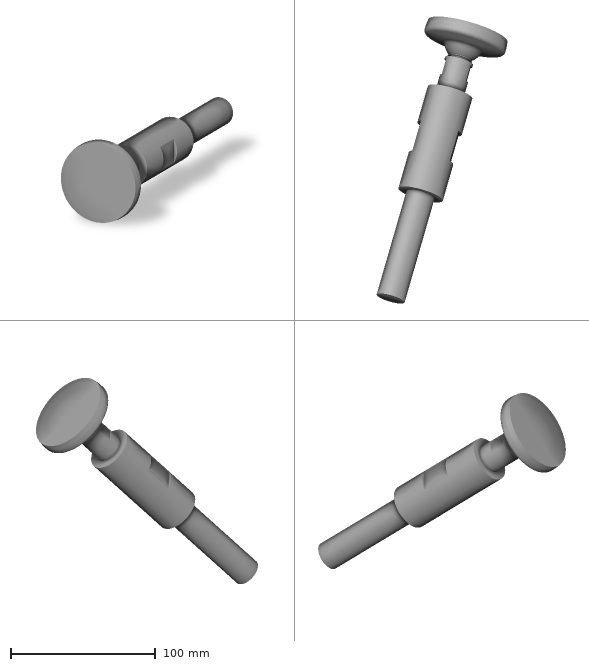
import cadquery as cq
import math


foot_diameter = 58.0
foot_base_diameter = 57.0
rim_taper_height = 4.1
rim_top_height = 9.3
rim_fillet = 2.4
dome_radius = 14.0
dome_center_height = 8.3
dome_top_height = 19.7
dome_base_height = 12.2
dome_base_fillet = 1.5
lip_diameter = 17.5
foot_height = 20.5

stud_diameter = 20.0
stud_end_height = 197.0
neck_diameter = 14.0
neck_length = 1.8
shoulder_height = foot_height + neck_length
stud_flat_width = 17.3
stud_flat_length = 11.5
stud_flat_center = shoulder_height + 7.3

sleeve_diameter = 32.0
sleeve_length = 75.0
sleeve_base_height = 45.3
sleeve_flat_width = 26.8
sleeve_flat_length = 22.0
sleeve_flat_center = sleeve_base_height + sleeve_length / 2


def cylinder_y(diameter, start, end):
    """Cylinder on the Y axis between two heights."""
    return cq.Workplane("XZ", origin=(0, start, 0)).circle(diameter / 2).extrude(start - end)


def cut_flats(body, body_diameter, width, length, center):
    """Cut two opposite wrench flats, facing -X and +X."""
    depth = (body_diameter - width) / 2
    for side in (-1, 1):
        cutter = cq.Workplane("XY").box(depth, length, body_diameter)
        body = body.cut(cutter.translate((side * (width + depth) / 2, center, 0)))
    return body


def dome_radius_at(height):
    """Distance from the Y axis to the spherical dome at a height."""
    return math.sqrt(dome_radius**2 - (height - dome_center_height) ** 2)


def make_foot():
    """Round foot with a tapered rim, a spherical dome and a flared lip."""
    middle_height = (dome_base_height + dome_top_height) / 2
    rim_radius = foot_diameter / 2
    profile = (
        cq.Workplane("XY")
        .lineTo(foot_base_diameter / 2, 0)
        .lineTo(rim_radius, rim_taper_height)
        .lineTo(rim_radius, rim_top_height)
        .lineTo(dome_radius_at(dome_base_height), dome_base_height)
        .threePointArc(
            (dome_radius_at(middle_height), middle_height),
            (dome_radius_at(dome_top_height), dome_top_height),
        )
        .lineTo(lip_diameter / 2, foot_height)
        .lineTo(0, foot_height)
        .close()
    )
    foot = profile.revolve(360, (0, 0, 0), (0, 1, 0))

    def circle_edge_at(height):
        margin = 0.02
        reach = foot_diameter
        return cq.selectors.BoxSelector(
            (-reach, height - margin, -reach), (reach, height + margin, reach), boundingbox=True
        )

    foot = foot.edges(circle_edge_at(rim_top_height)).fillet(rim_fillet)
    return foot.edges(circle_edge_at(dome_base_height)).fillet(dome_base_fillet)


def make_stud():
    """Long stud with wrench flats and a thin neck standing on the foot."""
    shank = cylinder_y(stud_diameter, shoulder_height, stud_end_height)
    shank = cut_flats(shank, stud_diameter, stud_flat_width, stud_flat_length, stud_flat_center)
    return shank.union(cylinder_y(neck_diameter, foot_height, shoulder_height))


def make_sleeve():
    """Sleeve around the stud with its own wrench flats."""
    sleeve_end_height = sleeve_base_height + sleeve_length
    sleeve = cylinder_y(sleeve_diameter, sleeve_base_height, sleeve_end_height)
    sleeve = cut_flats(
        sleeve, sleeve_diameter, sleeve_flat_width, sleeve_flat_length, sleeve_flat_center
    )
    return sleeve.cut(cylinder_y(stud_diameter, sleeve_base_height, sleeve_end_height))


foot = make_foot()
stud = make_stud()
sleeve = make_sleeve()

bodies = [body.solids().val() for body in (foot, stud, sleeve)]
result = cq.Compound.makeCompound(bodies)